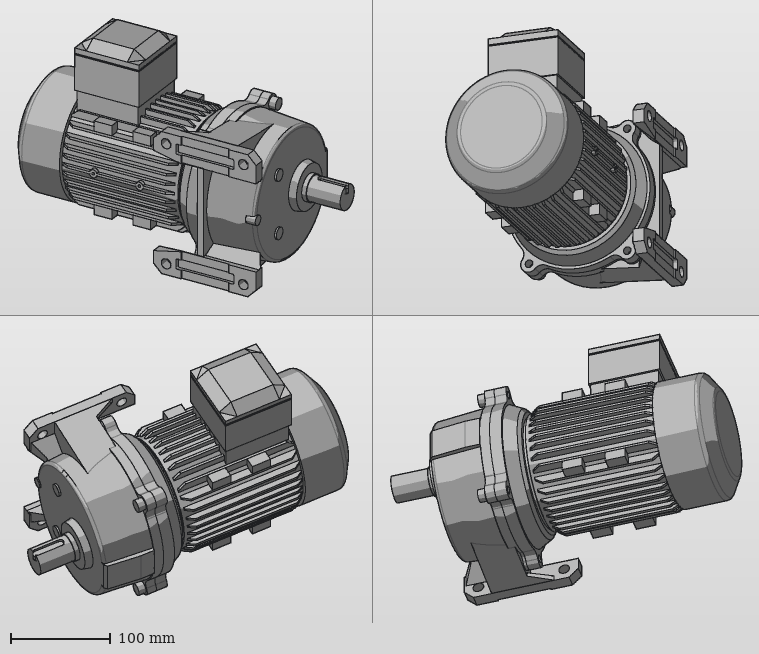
import cadquery as cq
import math


COVER_END = 59.7
FIN_END = 190.8
COLLAR_END = 194.5
FRAME_END = 197.7
FLANGE_START = 214.5
FLANGE_JOINT = 227.0
FLANGE_END = 237.5
CASE_END = 291.5
BOSS_END = 299.8
SHAFT_COLLAR_END = 305.0
SHAFT_END = 344.0
KEY_END = 345.0

COVER_D = 131.0
COVER_FACE_R = 46.2
COVER_CONE_LENGTH = 12.8
COVER_FACE_FILLET = 8.0
COVER_RIM_FILLET = 5.5

CORE_D = 121.0
SPIGOT_D = 116.0
FIN_PITCH = 10.0
FINS_EACH_WAY = 4
FIN_THICKNESS = 2.8
FIN_ENVELOPE_R = 65.5
FIN_MAX_REACH = 64.5
FIN_TAPER = 8.0
PAD_LENGTH = 20.7
PAD_SIDE = 12.0
PAD_CORNER = 52.8
PAD_STARTS = (92.5, 137.5)
STUD_XS = (98.3, 152.0)
STUD_D = 9.0
STUD_HOLE_D = 2.7
STUD_HOLE_DEPTH = 3.5
STUD_LENGTH = 10.5

BOX_START = 60.7
BOX_SIDE = 75.0
BOX_BOTTOM = 72.5
BOX_TOP = 112.5
BOX_CENTRE_X = BOX_START + BOX_SIDE / 2
NECK_SIDE = 71.0
NECK_BOTTOM = 41.5
LIP_HEIGHT = 1.0
LIP_INSET = 1.0
LID_EDGE_TOP = 120.0
LID_TOP = 128.7
LID_TOP_SIDE = 48.0

FLANGE_R = 77.3
LUG_Y = 52.8
LUG_Z = 65.2
LUG_POINTS = [(y, z) for y in (-LUG_Y, LUG_Y) for z in (-LUG_Z, LUG_Z)]
LUG_R = 9.0
LUG_FILLET = 10.0
LUG_HOLE_D = 8.0
ADAPTER_START_R = 63.0
ADAPTER_CONE_R = 67.3
ADAPTER_CONE_START = 201.0
ADAPTER_END_R = 74.2

CASE_BACK_R = 76.0
CASE_FRONT_R = 71.8
CASE_FILLET = 3.5
SIDE_PAD_Y = FLANGE_R
SIDE_PAD_WIDTH = 36.0
SIDE_PAD_BEND_X = 252.5
SIDE_PAD_FRONT_Y = 73.5
SIDE_PAD_END = 288.8
SCREW_HEAD_D = 13.0
SCREW_HEAD_LENGTH = 8.0
FACE_PAD_Y = -27.3
FACE_PAD_Z = 32.8
FACE_PAD_HEIGHT = 2.0
PLUG_D = 11.0
PLUG_START = 281.5
PLUG_Y = -68.5
PLUG_END = 293.0
BOSS_BASE_R = 27.0
BOSS_FRONT_R = 25.2

FOOT_START = 180.0
FOOT_END = BOSS_END
FOOT_FACE_Y = -84.2
FOOT_BACK_Y = -72.0
FOOT_INNER_Z = 49.7
FOOT_OUTER_Z = 80.0
FOOT_CHAMFER = 9.5
FOOT_TAPER_Z = 56.5
FOOT_TAPER_END = 212.0
FOOT_HOLE_D = 11.0
FOOT_HOLE_XS = (195.0, 285.0)
FOOT_HOLE_Z = 67.5
RELIEF_START = 212.5
RELIEF_END = 267.7
RELIEF_DEPTH = 1.5
GROOVE_START = 206.3
GROOVE_END = 274.0
GROOVE_BOTTOM_Z = 59.0
GROOVE_TOP_Z = 70.5
GROOVE_DEPTH = 5.0
GROOVE_CORNER_R = 1.7

WEB_START = 230.0
WEB_END = 271.0
WEB_TOP_Z = 73.0
WEB_FOOT_Z = 79.7
WEB_ROOT_Y = -56.5
WEB_ROOT_Z = 40.5
WEB_FOOT_Y = -78.3
CROSS_PLATE_Y = -81.8
GUSSET_TOP_END = 288.0
GUSSET_END_Y = -75.2
GUSSET_FOOT_Z = 62.0
FLARE_START = 205.5
FLARE_TOP_Y = -59.7
FLARE_INNER_Z = 74.0

SHAFT_Y = 20.7
SHAFT_D = 28.0
SHAFT_COLLAR_D = 30.0
SHAFT_SEAT_X = 276.0
KEY_START = 310.5
KEY_WIDTH = 8.0
KEY_BOTTOM_Z = 5.0
KEY_TOP_Z = 10.7


def rod(x_start, x_end, diameter, y=0, z=0):
    """Cylinder parallel to the X axis."""
    return (
        cq.Workplane("YZ", origin=(x_start, y, z))
        .circle(diameter / 2)
        .extrude(x_end - x_start)
    )


def block(x, y, z):
    """Box between the limits given for each axis."""
    return cq.Workplane("XY").box(
        x[1] - x[0], y[1] - y[0], z[1] - z[0], centered=False
    ).translate((x[0], y[0], z[0]))


def turned(points):
    """Body of revolution about the motor axis from (x, radius) points."""
    return cq.Workplane("XY").polyline(points).close().revolve(360, (0, 0, 0), (1, 0, 0))


def make_fan_cover():
    radius = COVER_D / 2
    cover = turned([
        (0, 0), (0, COVER_FACE_R), (COVER_CONE_LENGTH, radius), (COVER_END, radius), (COVER_END, 0),
    ])
    rim = cq.selectors.NearestToPointSelector((COVER_CONE_LENGTH, 0, 0))
    cover = cover.edges(rim).fillet(COVER_RIM_FILLET)
    return cover.faces("<X").edges().fillet(COVER_FACE_FILLET)


def fin_plate(offset):
    """Horizontal plate through the core, with its tips standing out on both Y sides."""
    inner_face = max(abs(offset) - FIN_THICKNESS / 2, 0)
    tip = min(math.sqrt(FIN_ENVELOPE_R ** 2 - inner_face ** 2), FIN_MAX_REACH)
    root = math.sqrt((CORE_D / 2) ** 2 - inner_face ** 2)
    return (
        cq.Workplane("XY", origin=(0, 0, offset - FIN_THICKNESS / 2))
        .polyline([
            (COVER_END, -root), (COVER_END + FIN_TAPER, -tip), (FIN_END - FIN_TAPER, -tip), (FIN_END, -root),
            (FIN_END, root), (FIN_END - FIN_TAPER, tip), (COVER_END + FIN_TAPER, tip), (COVER_END, root),
        ])
        .close()
        .extrude(FIN_THICKNESS)
    )


def make_frame(neck):
    frame = rod(COVER_END, COLLAR_END, CORE_D)
    for index in range(-FINS_EACH_WAY, FINS_EACH_WAY + 1):
        plate = fin_plate(index * FIN_PITCH)
        frame = frame.union(plate)
        frame = frame.union(plate.rotate((0, 0, 0), (1, 0, 0), 90))
    frame = frame.cut(neck)
    frame = frame.union(rod(COLLAR_END, FRAME_END, SPIGOT_D))

    for x in PAD_STARTS:
        pad = block(
            (x, x + PAD_LENGTH),
            (PAD_CORNER - PAD_SIDE, PAD_CORNER),
            (PAD_CORNER - PAD_SIDE, PAD_CORNER),
        )
        for quarter in range(4):
            frame = frame.union(pad.rotate((0, 0, 0), (1, 0, 0), 90 * quarter))

    for x in STUD_XS:
        stud_face = cq.Workplane("XZ", origin=(x, -FIN_MAX_REACH, 0))
        frame = frame.union(stud_face.circle(STUD_D / 2).extrude(-STUD_LENGTH))
        frame = frame.cut(stud_face.circle(STUD_HOLE_D / 2).extrude(-STUD_HOLE_DEPTH))
    return frame


def centred_block(side, bottom, top):
    """Square block on the vertical centre line of the terminal box."""
    half = side / 2
    return block((BOX_CENTRE_X - half, BOX_CENTRE_X + half), (-half, half), (bottom, top))


def make_neck():
    neck = centred_block(NECK_SIDE, NECK_BOTTOM, BOX_BOTTOM)
    return neck.cut(rod(COVER_END, FIN_END, CORE_D))


def make_terminal_box(neck):
    return neck.union(centred_block(BOX_SIDE, BOX_BOTTOM, BOX_TOP))


def gable(low, high):
    """Long prism as tall as the lid crown, with half widths given at its foot and its top."""
    height = LID_TOP - LID_EDGE_TOP
    return (
        cq.Workplane("XZ")
        .polyline([(-low, 0), (low, 0), (high, height), (-high, height)])
        .close()
        .extrude(BOX_SIDE, both=True)
    )


def make_terminal_lid():
    lip_top = BOX_TOP + LIP_HEIGHT
    lid = centred_block(BOX_SIDE - 2 * LIP_INSET, BOX_TOP, lip_top)
    lid = lid.union(centred_block(BOX_SIDE, lip_top, LID_EDGE_TOP))

    low = BOX_SIDE / 2
    high = LID_TOP_SIDE / 2
    facet_low = (low + high) / math.sqrt(2)
    facet_high = LID_TOP_SIDE / math.sqrt(2)
    crown = gable(low, high).intersect(gable(low, high).rotate((0, 0, 0), (0, 0, 1), 90))
    for angle in (45, 135):
        facets = gable(facet_low, facet_high).rotate((0, 0, 0), (0, 0, 1), angle)
        crown = crown.intersect(facets)
    return lid.union(crown.translate((BOX_CENTRE_X, 0, LID_EDGE_TOP)))


def flange_plate(x_start, x_end):
    """Round flange with four lugs blended into its rim."""
    plate = rod(x_start, x_end, 2 * FLANGE_R)
    for y, z in LUG_POINTS:
        plate = plate.union(rod(x_start, x_end, 2 * LUG_R, y, z))
    return plate.edges("|X").fillet(LUG_FILLET)


def make_adapter():
    adapter = turned([
        (FRAME_END, 0), (FRAME_END, ADAPTER_START_R), (ADAPTER_CONE_START, ADAPTER_CONE_R),
        (FLANGE_START, ADAPTER_END_R), (FLANGE_START, 0),
    ])
    adapter = adapter.union(flange_plate(FLANGE_START, FLANGE_JOINT))
    for y, z in LUG_POINTS:
        adapter = adapter.cut(rod(FLANGE_START, FLANGE_JOINT, LUG_HOLE_D, y, z))
    return adapter


def make_foot_plate():
    """Upper foot plate with its holes, relief and groove."""
    foot = (
        cq.Workplane("XZ", origin=(0, FOOT_BACK_Y, 0))
        .polyline([
            (FOOT_START, FOOT_TAPER_Z), (FOOT_TAPER_END, FOOT_INNER_Z), (FOOT_END, FOOT_INNER_Z),
            (FOOT_END, FOOT_OUTER_Z - FOOT_CHAMFER), (FOOT_END - FOOT_CHAMFER, FOOT_OUTER_Z),
            (FOOT_START + FOOT_CHAMFER, FOOT_OUTER_Z), (FOOT_START, FOOT_OUTER_Z - FOOT_CHAMFER),
        ])
        .close()
        .extrude(FOOT_BACK_Y - FOOT_FACE_Y)
    )
    foot = foot.cut(
        cq.Workplane("YZ", origin=(FOOT_START, 0, 0))
        .polyline([(FOOT_BACK_Y, FOOT_TAPER_Z), (FOOT_BACK_Y, FOOT_INNER_Z), (CROSS_PLATE_Y, FOOT_INNER_Z)])
        .close()
        .extrude(WEB_START - FOOT_START)
    )
    foot = foot.cut(block(
        (RELIEF_START, RELIEF_END),
        (FOOT_FACE_Y, FOOT_FACE_Y + RELIEF_DEPTH),
        (FOOT_INNER_Z, FOOT_OUTER_Z),
    ))
    groove = block(
        (GROOVE_START, GROOVE_END),
        (FOOT_FACE_Y, FOOT_FACE_Y + GROOVE_DEPTH),
        (GROOVE_BOTTOM_Z, GROOVE_TOP_Z),
    )
    foot = foot.cut(groove.edges("|Y").fillet(GROOVE_CORNER_R))
    holes = (
        cq.Workplane("XZ", origin=(0, FOOT_BACK_Y, 0))
        .pushPoints([(x, FOOT_HOLE_Z) for x in FOOT_HOLE_XS])
        .circle(FOOT_HOLE_D / 2)
        .extrude(FOOT_BACK_Y - FOOT_FACE_Y)
    )
    return foot.cut(holes)


def make_foot_web():
    """Web, gusset and flare between the gear case and the upper foot plate."""
    profile = (
        cq.Workplane("YZ", origin=(FLARE_START, 0, 0))
        .polyline([
            (0, 0), (0, WEB_TOP_Z), (FOOT_BACK_Y, WEB_FOOT_Z), (WEB_FOOT_Y, FOOT_INNER_Z),
            (WEB_ROOT_Y, WEB_ROOT_Z),
        ])
        .close()
        .extrude(WEB_END - FLARE_START)
    )
    web = profile.intersect(block((WEB_START, WEB_END), (FOOT_FACE_Y, 0), (0, FOOT_OUTER_Z)))
    flare = (
        cq.Workplane("XY", origin=(0, 0, FLARE_INNER_Z))
        .polyline([(WEB_START, FLARE_TOP_Y), (WEB_START, FOOT_BACK_Y), (FLARE_START, FOOT_BACK_Y)])
        .close()
        .extrude(FOOT_OUTER_Z - FLARE_INNER_Z)
    )
    web = web.union(profile.intersect(flare))
    gusset = (
        cq.Workplane("YZ", origin=(WEB_END, 0, 0))
        .polyline([
            (0, 0), (FOOT_BACK_Y, GUSSET_FOOT_Z), (WEB_FOOT_Y, FOOT_INNER_Z), (WEB_ROOT_Y, WEB_ROOT_Z),
        ])
        .close()
        .extrude(FOOT_END - WEB_END)
    )
    lean = (
        cq.Workplane("XY")
        .polyline([
            (WEB_END, 0), (GUSSET_TOP_END, 0), (GUSSET_TOP_END, WEB_ROOT_Y),
            (FOOT_END, GUSSET_END_Y), (FOOT_END, FOOT_FACE_Y), (WEB_END, FOOT_FACE_Y),
        ])
        .close()
        .extrude(FOOT_OUTER_Z)
    )
    return web.union(gusset.intersect(lean))


def make_gear_case():
    case = turned([
        (FLANGE_JOINT, 0), (FLANGE_JOINT, CASE_BACK_R), (FLANGE_END, CASE_BACK_R),
        (CASE_END, CASE_FRONT_R), (CASE_END, 0),
    ])
    half_pad = SIDE_PAD_WIDTH / 2
    side_pad = (
        cq.Workplane("XY", origin=(0, 0, -half_pad))
        .polyline([
            (FLANGE_END, 0), (FLANGE_END, SIDE_PAD_Y), (SIDE_PAD_BEND_X, SIDE_PAD_Y),
            (SIDE_PAD_END, SIDE_PAD_FRONT_Y), (CASE_END, SIDE_PAD_FRONT_Y - CASE_FILLET), (CASE_END, 0),
        ])
        .close()
        .extrude(SIDE_PAD_WIDTH)
    )
    case = case.faces(">X").edges().fillet(CASE_FILLET)
    case = case.union(side_pad).union(flange_plate(FLANGE_JOINT, FLANGE_END))

    foot = make_foot_plate().union(make_foot_web())
    case = case.union(foot).union(foot.mirror("XY"))
    case = case.union(block(
        (WEB_START, FLANGE_END), (CROSS_PLATE_Y, 0), (-FOOT_INNER_Z, FOOT_INNER_Z)
    ))

    for z in (-LUG_Z, LUG_Z):
        case = case.union(rod(FLANGE_END, FLANGE_END + SCREW_HEAD_LENGTH, SCREW_HEAD_D, LUG_Y, z))
    for z in (-FACE_PAD_Z, FACE_PAD_Z):
        case = case.union(rod(CASE_END, CASE_END + FACE_PAD_HEIGHT, SCREW_HEAD_D, FACE_PAD_Y, z))
    case = case.union(rod(PLUG_START, PLUG_END, PLUG_D, PLUG_Y))

    boss = turned([(CASE_END, 0), (CASE_END, BOSS_BASE_R), (BOSS_END, BOSS_FRONT_R), (BOSS_END, 0)])
    case = case.union(boss.translate((0, SHAFT_Y, 0)))
    return case.cut(rod(SHAFT_SEAT_X, BOSS_END, SHAFT_COLLAR_D, SHAFT_Y))


def key_prism(top):
    """Round-ended prism on the shaft, from the keyway floor to the given height."""
    return (
        cq.Workplane("XY", origin=((KEY_START + KEY_END) / 2, SHAFT_Y, KEY_BOTTOM_Z))
        .slot2D(KEY_END - KEY_START, KEY_WIDTH)
        .extrude(top - KEY_BOTTOM_Z)
    )


def make_shaft():
    shaft = rod(SHAFT_SEAT_X, SHAFT_COLLAR_END, SHAFT_COLLAR_D, SHAFT_Y)
    shaft = shaft.union(rod(SHAFT_COLLAR_END, SHAFT_END, SHAFT_D, SHAFT_Y))
    return shaft.cut(key_prism(SHAFT_D))


def make_key():
    return key_prism(KEY_TOP_Z)


terminal_neck = make_neck()
fan_cover = make_fan_cover()
motor_frame = make_frame(terminal_neck)
terminal_box = make_terminal_box(terminal_neck)
terminal_lid = make_terminal_lid()
adapter = make_adapter()
gear_case = make_gear_case()
output_shaft = make_shaft()
shaft_key = make_key()

result = cq.Compound.makeCompound([
    fan_cover.solids().val(),
    motor_frame.solids().val(),
    terminal_box.solids().val(),
    terminal_lid.solids().val(),
    adapter.solids().val(),
    gear_case.solids().val(),
    output_shaft.solids().val(),
    shaft_key.solids().val(),
])